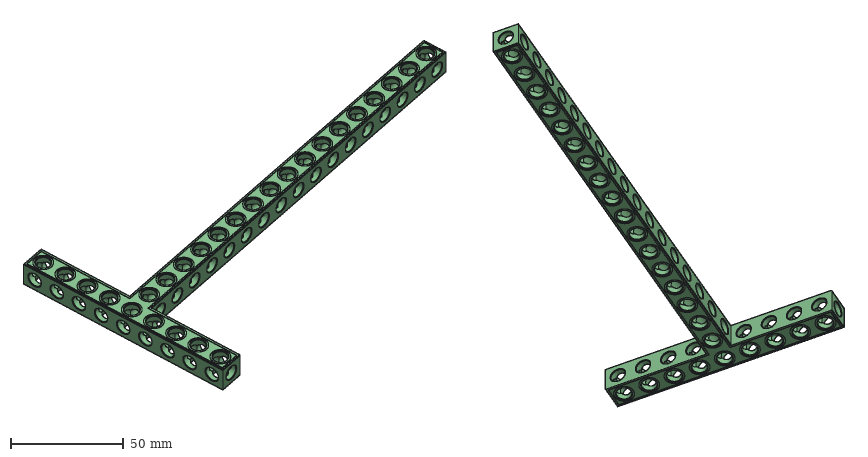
import cadquery as cq

LENGTH = 225.0
STEM_CELLS = 18
CROSSBAR_CELLS = 9
HOLE_DIAMETER = 7.0
COLLAR_DIAMETER = 9.2
RIM_THICKNESS = 1.08
RECESS_DEPTH = 0.2
CHAMFER = 0.32

PITCH = LENGTH / STEM_CELLS
WIDTH = PITCH
HALF_WIDTH = WIDTH / 2
CROSSBAR_LENGTH = CROSSBAR_CELLS * PITCH
STEM_LENGTH = LENGTH - WIDTH

CROSSBAR_POINTS = [((i - (CROSSBAR_CELLS - 1) / 2) * PITCH, 0) for i in range(CROSSBAR_CELLS)]
STEM_POINTS = [(0, i * PITCH) for i in range(1, STEM_CELLS)]
CELL_POINTS = CROSSBAR_POINTS + STEM_POINTS


def beam(length_x, length_y, centre_y, plain_side):
    """Square beam chamfered along its top and bottom edges, except on the plain side."""
    block = cq.Workplane("XY").box(length_x, length_y, WIDTH)
    flat_edges = block.faces("<Z or >Z").edges()
    chamfered = flat_edges.edges(f"not ({plain_side})").chamfer(CHAMFER)
    return chamfered.translate((0, centre_y, 0))


def tee_body():
    crossbar = beam(CROSSBAR_LENGTH, WIDTH, 0, ">Y")
    stem = beam(WIDTH, STEM_LENGTH, HALF_WIDTH + STEM_LENGTH / 2, "<Y")
    return crossbar.union(stem).clean()


def recess(bottom):
    """Shallow T-shaped pocket inside the rim, leaving a round collar at every cell."""
    inner_width = WIDTH - 2 * RIM_THICKNESS
    start = cq.Workplane("XY").workplane(offset=bottom)
    crossbar = start.rect(CROSSBAR_LENGTH - 2 * RIM_THICKNESS, inner_width).extrude(RECESS_DEPTH)
    stem = (
        start.center(0, STEM_LENGTH / 2)
        .rect(inner_width, LENGTH - 2 * RIM_THICKNESS)
        .extrude(RECESS_DEPTH)
    )
    collars = start.pushPoints(CELL_POINTS).circle(COLLAR_DIAMETER / 2).extrude(RECESS_DEPTH)
    return crossbar.union(stem).cut(collars)


def bore(start, axis, length):
    """Straight round hole running from start along axis, with both mouths chamfered."""
    radius = HOLE_DIAMETER / 2
    mouth_radius = radius + CHAMFER
    begin = cq.Vector(*start)
    direction = cq.Vector(*axis)
    end = begin + direction * length
    barrel = cq.Solid.makeCylinder(radius, length, begin, direction)
    first_mouth = cq.Solid.makeCone(mouth_radius, radius, CHAMFER, begin, direction)
    last_mouth = cq.Solid.makeCone(mouth_radius, radius, CHAMFER, end, -direction)
    return barrel.fuse(first_mouth, last_mouth)


def all_bores():
    vertical = [bore((x, y, -HALF_WIDTH), (0, 0, 1), WIDTH) for x, y in CELL_POINTS]
    along_y = [
        bore((x, -HALF_WIDTH, 0), (0, 1, 0), LENGTH if x == 0 else WIDTH)
        for x, _ in CROSSBAR_POINTS
    ]
    across_stem = [bore((-HALF_WIDTH, y, 0), (1, 0, 0), WIDTH) for _, y in STEM_POINTS]
    along_crossbar = bore((-CROSSBAR_LENGTH / 2, 0, 0), (1, 0, 0), CROSSBAR_LENGTH)
    return vertical + along_y + across_stem + [along_crossbar]


body = tee_body()
body = body.cut(recess(HALF_WIDTH - RECESS_DEPTH))
body = body.cut(recess(-HALF_WIDTH))
result = cq.Workplane("XY").newObject(body.val().cut(*all_bores()).Solids())